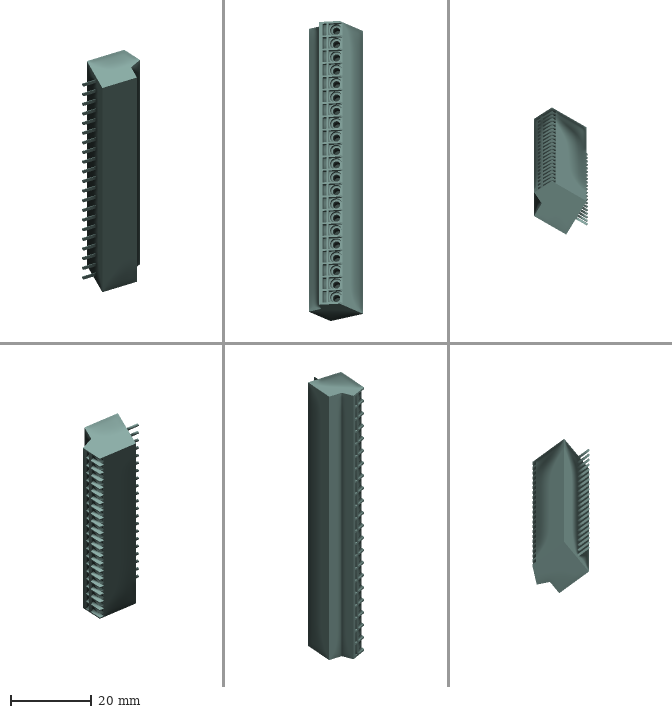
import cadquery as cq
import math

height = 74.1
width = 10.0
shoulder_y = 10.1
ledge_y = 9.3
peak_x = 4.75
peak_y = 12.4
slope_angle = math.degrees(math.atan2(peak_y - shoulder_y, peak_x))
ledge_x = peak_x + (peak_y - ledge_y) * math.tan(math.radians(slope_angle))

pole_count = 21
end_wall = 0.3
pitch = (height - 2 * end_wall) / pole_count
first_pocket_z = end_wall + pitch / 2
pocket_width = 3.05

entry_end = 2.8
entry_depth = 1.05

wire_center = 1.1
wire_mouth_diameter = 3.0
wire_mouth_depth = 1.85
wire_bore_diameter = 1.85
wire_bore_depth = 4.45

slot_start = 3.3
slot_end = 4.3
slot_depth = 1.05

pin_length = 3.55
pin_x = 5.55
pin_thickness = 0.45
pin_height = 1.1
pin_rise = 0.33
tip_radius = 0.45
first_pin_z = first_pocket_z + pin_rise


def make_housing():
    outline = [
        (0, 0),
        (width, 0),
        (width, ledge_y),
        (ledge_x, ledge_y),
        (peak_x, peak_y),
        (0, shoulder_y),
    ]
    return cq.Workplane("XY").polyline(outline).close().extrude(height)


def block_on_slope(start, end, depth):
    """Cutter centred on Z = 0 that reaches from above the slope down to the depth."""
    length = end - start
    middle = (start + end) / 2
    return cq.Workplane("XY").box(length, 2 * depth, pocket_width).translate((middle, 0, 0))


def hole_in_slope(diameter, depth):
    return cq.Workplane("XZ").center(wire_center, 0).circle(diameter / 2).extrude(depth)


def make_pole_cutter():
    """Cavities of one pole, built along X and then tilted onto the slope."""
    entry = block_on_slope(-entry_end, entry_end, entry_depth)
    slot = block_on_slope(slot_start, slot_end, slot_depth)
    wire_mouth = hole_in_slope(wire_mouth_diameter, wire_mouth_depth)
    wire_bore = hole_in_slope(wire_bore_diameter, wire_bore_depth)
    cutter = entry.union(slot).union(wire_mouth).union(wire_bore)
    tilted = cutter.rotate((0, 0, 0), (0, 0, 1), slope_angle)
    return tilted.translate((0, shoulder_y, 0))


def make_pin():
    half_thickness = pin_thickness / 2
    half_height = pin_height / 2
    shank = (
        cq.Workplane("XZ")
        .moveTo(half_thickness, -half_height)
        .threePointArc((-half_thickness, 0), (half_thickness, half_height))
        .close()
        .extrude(pin_length)
    )
    rounded_blank = (
        cq.Workplane("XY")
        .box(pin_thickness, pin_length, pin_height)
        .translate((0, -pin_length / 2, 0))
        .edges("<Y and |X")
        .fillet(tip_radius)
    )
    return shank.intersect(rounded_blank)


result = make_housing()
pole_cutter = make_pole_cutter()
pin = make_pin()
for pole in range(pole_count):
    rise = pole * pitch
    result = result.cut(pole_cutter.translate((0, 0, first_pocket_z + rise)))
    result = result.union(pin.translate((pin_x, 0, first_pin_z + rise)))